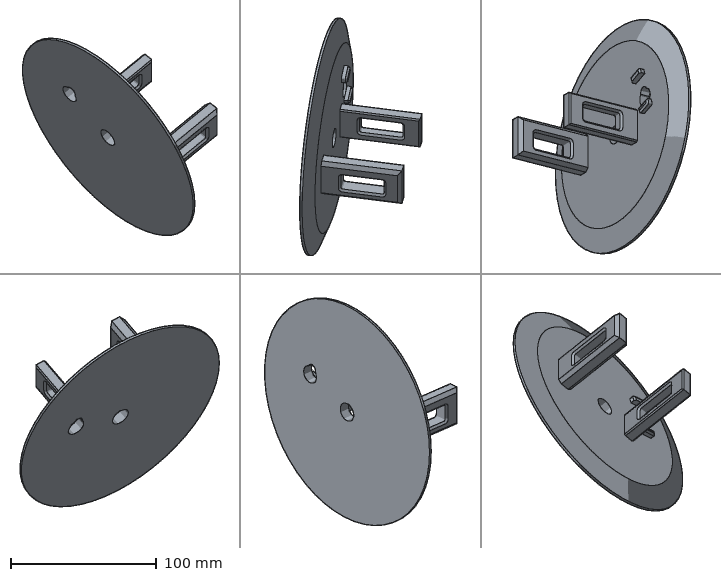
import cadquery as cq
import math

plate_diameter = 164.0
plate_thickness = 7.5
rim_thickness = 1.8
raised_face_diameter = 131.9
center_hole_diameter = 13.1

lobe_x = -35.0
lobe_z = 20.0
lobe_diameter = 6.9
head_hole_diameter = 12.6
head_hole_offset = 5.1
keyhole_tilt = -20.0

block_width = 11.6
block_depth = 4.6
block_height = 4.1
block_offset = 13.8
block_corner_radius = 1.5
block_chamfer = 1.3

prong_end_y = 63.5
narrow_prong_x = (-27.5, -19.2)
narrow_prong_z = (-14.6, 9.5)
narrow_prong_bevel = 1.0
wide_prong_x = (33.3, 45.1)
wide_prong_z = (-15.6, 12.8)
wide_prong_bevel = 2.6
window_y = (21.2, 51.4)
window_z = (-8.5, 3.8)
window_corner_radius = 1.5
window_bevel = 1.5


def make_plate():
    """Disc with a short straight rim and a conical slope up to the raised face."""
    profile = [
        (0, 0),
        (plate_diameter / 2, 0),
        (plate_diameter / 2, rim_thickness),
        (raised_face_diameter / 2, plate_thickness),
        (0, plate_thickness),
    ]
    return cq.Workplane("XY").polyline(profile).close().revolve(360, (0, 0), (0, 1))


def hole_through_plate(x, z, diameter):
    """Cutter through the whole plate thickness."""
    hole = cq.Solid.makeCylinder(diameter / 2, plate_thickness, cq.Vector(x, 0, z), cq.Vector(0, 1, 0))
    return cq.Workplane(hole)


def make_keyhole():
    """Cutter for the lobe and the screw-head hole below it on the tilted axis."""
    tilt = math.radians(keyhole_tilt)
    head_x = lobe_x + head_hole_offset * math.sin(tilt)
    head_z = lobe_z - head_hole_offset * math.cos(tilt)
    head_hole = hole_through_plate(head_x, head_z, head_hole_diameter)
    return head_hole.union(hole_through_plate(lobe_x, lobe_z, lobe_diameter))


def make_guide_block(turn, chamfered_edges):
    """Block with rounded outer corners, turned about the lobe by an angle in degrees.

    The selector picks which edges of the block's free end are chamfered.
    """
    block = (
        cq.Workplane("XY")
        .box(block_width, block_height, block_depth, centered=(True, False, True))
        .edges("|Y and >Z")
        .fillet(block_corner_radius)
        .faces(">Y")
        .edges(chamfered_edges)
        .chamfer(block_chamfer)
    )
    return (
        block.translate((0, plate_thickness, block_offset))
        .rotate((0, 0, 0), (0, 1, 0), turn)
        .translate((lobe_x, 0, lobe_z))
    )


def bevelled_layer(x_start, depth, y_range, z_range, corner_radius, inset):
    """Slab on a plane of constant x whose outline shrinks by an inset over its signed depth."""
    taper = math.degrees(math.atan2(inset, abs(depth)))
    outline = cq.Sketch().rect(y_range[1] - y_range[0], z_range[1] - z_range[0])
    if corner_radius > 0:
        outline = outline.vertices().fillet(corner_radius)
    center = (x_start, sum(y_range) / 2, sum(z_range) / 2)
    return cq.Workplane("YZ", origin=center).placeSketch(outline).extrude(depth, taper=taper)


def make_prong(x_range, z_range, bevel):
    """Prong with bevelled long sides and free end; the bevelled root is buried in the plate."""
    y_range = (plate_thickness - 2 * bevel, prong_end_y)
    x_left = x_range[0] + bevel
    x_right = x_range[1] - bevel
    prong = bevelled_layer(x_left, x_right - x_left, y_range, z_range, 0, 0)
    prong = prong.union(bevelled_layer(x_left, -bevel, y_range, z_range, 0, bevel))
    return prong.union(bevelled_layer(x_right, bevel, y_range, z_range, 0, bevel))


def make_window(x_range):
    """Cutter for a window through a prong, widening towards both side faces."""
    x_left, x_right = x_range
    window = bevelled_layer(x_left, x_right - x_left, window_y, window_z, window_corner_radius, 0)
    mouth_y = (window_y[0] - window_bevel, window_y[1] + window_bevel)
    mouth_z = (window_z[0] - window_bevel, window_z[1] + window_bevel)
    mouth_radius = window_corner_radius + window_bevel
    for x_face, depth in ((x_left, window_bevel), (x_right, -window_bevel)):
        mouth = bevelled_layer(x_face, depth, mouth_y, mouth_z, mouth_radius, window_bevel)
        window = window.union(mouth)
    return window


result = make_plate()
result = result.union(make_guide_block(-keyhole_tilt, "not <Z"))
result = result.union(make_guide_block(180 - keyhole_tilt, None))
for prong_x, prong_z, prong_bevel in (
    (narrow_prong_x, narrow_prong_z, narrow_prong_bevel),
    (wide_prong_x, wide_prong_z, wide_prong_bevel),
):
    result = result.union(make_prong(prong_x, prong_z, prong_bevel))
    result = result.cut(make_window(prong_x))
result = result.cut(hole_through_plate(0, 0, center_hole_diameter)).cut(make_keyhole())